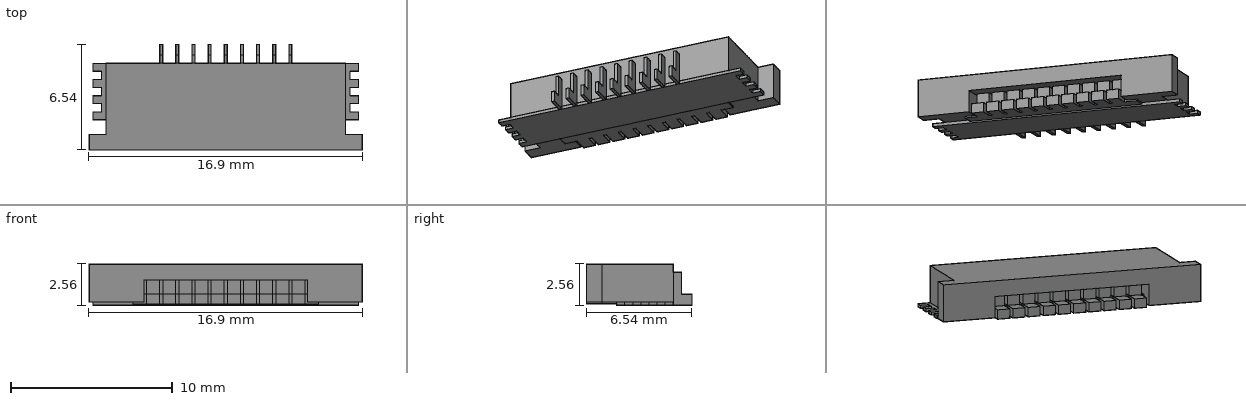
import cadquery as cq


body_width = 14.84
body_back = 5.38
housing_bottom = 0.2
housing_top = 2.56
flange_width = 16.92
flange_depth = 0.97

opening_width = 10.14
opening_top = 1.56
opening_depth = 2 * flange_depth

floor_bottom = 0.1
floor_top = 0.7
floor_width = 11.46

contact_count = 9
contact_pitch = 1.0
contact_thickness = 0.2
contact_tail_top = 2.06
contact_tail_length = 0.52
foot_top = 0.7
foot_back = 6.54
tooth_count = contact_count + 1
tooth_width = contact_pitch - contact_thickness

plate_width = 16.46
plate_thickness = housing_bottom
plate_front = 1.87
plate_tooth_count = 4
plate_tooth_width = 0.5
plate_tooth_pitch = 1.0
plate_tooth_length = 0.53
plate_depth = (plate_tooth_count - 1) * plate_tooth_pitch + plate_tooth_width


def block(x_center, width, y_range, z_range):
    """Box centred on x_center that fills the given Y and Z ranges."""
    y_start, y_end = y_range
    z_start, z_end = z_range
    return cq.Workplane("XY").box(
        width, y_end - y_start, z_end - z_start, centered=(True, False, False)
    ).translate((x_center, y_start, z_start))


def centered_positions(count, pitch):
    """Evenly spaced positions, symmetric about zero."""
    return [(i - (count - 1) / 2) * pitch for i in range(count)]


def make_housing():
    """Main body with its wider front flange, hollowed by the cable opening."""
    height_range = (housing_bottom, housing_top)
    body = block(0, body_width, (0, body_back), height_range)
    flange = block(0, flange_width, (0, flange_depth), height_range)
    opening = block(0, opening_width, (0, opening_depth), (housing_bottom, opening_top))
    return body.union(flange).cut(opening)


def make_floor():
    """Comb floor: teeth reach the front face, with a rib rising behind each tooth."""
    floor = block(0, opening_width, (flange_depth, opening_depth), (floor_bottom, floor_top))
    skirt = block(0, floor_width, (flange_depth, opening_depth), (floor_bottom, housing_bottom))
    floor = floor.union(skirt)
    for x in centered_positions(tooth_count, contact_pitch):
        floor = floor.union(block(x, tooth_width, (0, flange_depth), (floor_bottom, floor_top)))
        floor = floor.union(block(x, tooth_width, (flange_depth, opening_depth), (floor_top, opening_top)))
    return floor


def make_solder_plate():
    """Plate under the body, with a row of solder teeth at each end."""
    plate_back = plate_front + plate_depth
    plate = block(0, plate_width, (plate_front, plate_back), (0, plate_thickness))
    notch_width = plate_tooth_pitch - plate_tooth_width
    notch_x = (plate_width - plate_tooth_length) / 2
    for i in range(plate_tooth_count - 1):
        notch_start = plate_front + plate_tooth_width + i * plate_tooth_pitch
        notch_range = (notch_start, notch_start + notch_width)
        for side in (-1, 1):
            notch = block(side * notch_x, plate_tooth_length, notch_range, (0, plate_thickness))
            plate = plate.cut(notch)
    return plate


def make_contact(x):
    """Stepped contact tail behind the body."""
    tail_back = body_back + contact_tail_length
    tail = block(x, contact_thickness, (body_back, tail_back), (0, contact_tail_top))
    foot = block(x, contact_thickness, (body_back, foot_back), (0, foot_top))
    return tail.union(foot)


result = make_housing().union(make_floor()).union(make_solder_plate())
for contact_x in centered_positions(contact_count, contact_pitch):
    result = result.union(make_contact(contact_x))